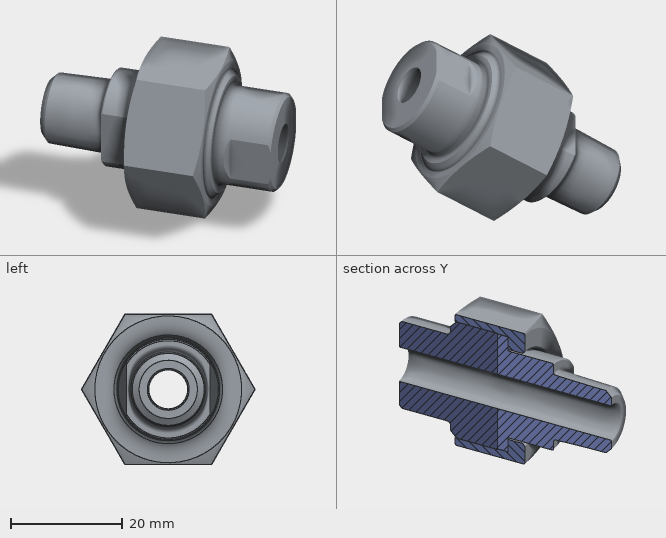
import cadquery as cq
import math

total_length = 44.0
bore_radius = 7.0 / 2
body_radius = 18.0 / 2

tip_chamfer = 1.25
taper_start_radius = 6.45
taper_end_radius = 6.75
taper_end = 11.6
root_fillet = 0.4
shoulder_start = taper_end + root_fillet
shoulder_chamfer = 0.25
tail_flat_offset = 7.5
tail_flat_end = 18.1
tail_flat_slope = math.tan(math.radians(15))
bore_chamfer = 0.25
collar_fillet = 0.25

nut_start = 17.95
nut_length = 14.5
nut_end = nut_start + nut_length
nut_across_flats = 27.0
nut_corner_radius = nut_across_flats / math.sqrt(3)
nut_face_radius = 13.2
nut_chamfer_length = 0.85
nut_hole_radius = 18.5 / 2
nut_hole_chamfer = 0.55
lip_length = 3.5
lip_end = nut_start + lip_length
thread_radius = 23.85 / 2

collar_length = 2.2
socket_start = lip_end + collar_length
flange_end = 33.45
flange_chamfer = 1.25
neck_start = 34.2
neck_fillet = 0.9
socket_chamfer = 0.55
socket_flat_offset = 8.0
socket_flat_start = 36.45
socket_flat_slope = 1.0


def revolve_profile(profile):
    """Turn a closed profile, drawn as (X, radius), around the X axis."""
    return profile.close().revolve(360, (0, 0, 0), (1, 0, 0))


def flat_cutters(start, end, offset, start_slope=0, end_slope=0):
    """Two mirrored cutters for flats at Y = +/-offset; a slope is the X run per unit depth at that end."""
    depth = body_radius
    cutter = (
        cq.Workplane("XY")
        .moveTo(start, offset)
        .lineTo(end, offset)
        .lineTo(end + end_slope * depth, offset + depth)
        .lineTo(start - start_slope * depth, offset + depth)
        .close()
        .extrude(body_radius, both=True)
    )
    return cutter.union(cutter.mirror("XZ"))


def make_tail():
    arc_middle = root_fillet * math.sqrt(0.5)
    collar_middle = collar_fillet * math.sqrt(0.5)
    profile = (
        cq.Workplane("XY")
        .moveTo(0, bore_radius + bore_chamfer)
        .lineTo(0, taper_start_radius - tip_chamfer)
        .lineTo(tip_chamfer, taper_start_radius)
        .lineTo(taper_end, taper_end_radius)
        .threePointArc(
            (taper_end + arc_middle, taper_end_radius + root_fillet - arc_middle),
            (shoulder_start, taper_end_radius + root_fillet),
        )
        .lineTo(shoulder_start, body_radius - shoulder_chamfer)
        .lineTo(shoulder_start + shoulder_chamfer, body_radius)
        .lineTo(lip_end - collar_fillet, body_radius)
        .threePointArc(
            (lip_end - collar_fillet + collar_middle, body_radius + collar_fillet - collar_middle),
            (lip_end, body_radius + collar_fillet),
        )
        .lineTo(lip_end, thread_radius)
        .lineTo(socket_start, thread_radius)
        .lineTo(socket_start, bore_radius)
        .lineTo(bore_chamfer, bore_radius)
    )
    flats = flat_cutters(shoulder_start, tail_flat_end, tail_flat_offset, end_slope=tail_flat_slope)
    return revolve_profile(profile).cut(flats)


def make_nut():
    hexagon = (
        cq.Workplane("YZ", origin=(nut_start, 0, 0))
        .polygon(6, 2 * nut_corner_radius)
        .extrude(nut_length)
    )
    envelope = revolve_profile(
        cq.Workplane("XY")
        .moveTo(nut_start, 0)
        .lineTo(nut_start, nut_face_radius)
        .lineTo(nut_start + nut_chamfer_length, nut_corner_radius)
        .lineTo(nut_end - nut_chamfer_length, nut_corner_radius)
        .lineTo(nut_end, nut_face_radius)
        .lineTo(nut_end, 0)
    )
    cavity = revolve_profile(
        cq.Workplane("XY")
        .moveTo(nut_start, 0)
        .lineTo(nut_start, nut_hole_radius + nut_hole_chamfer)
        .lineTo(nut_start + nut_hole_chamfer, nut_hole_radius)
        .lineTo(lip_end, nut_hole_radius)
        .lineTo(lip_end, thread_radius)
        .lineTo(nut_end, thread_radius)
        .lineTo(nut_end, 0)
    )
    return hexagon.intersect(envelope).cut(cavity)


def make_socket():
    neck_angle = math.asin((neck_start - flange_end) / neck_fillet)

    def neck_point(angle):
        return (
            neck_start - neck_fillet * math.sin(angle),
            body_radius + neck_fillet * (1 - math.cos(angle)),
        )

    profile = (
        cq.Workplane("XY")
        .moveTo(socket_start, bore_radius)
        .lineTo(socket_start, thread_radius)
        .lineTo(flange_end - flange_chamfer, thread_radius)
        .lineTo(flange_end, thread_radius - flange_chamfer)
        .lineTo(*neck_point(neck_angle))
        .threePointArc(neck_point(neck_angle / 2), neck_point(0))
        .lineTo(total_length - socket_chamfer, body_radius)
        .lineTo(total_length, body_radius - socket_chamfer)
        .lineTo(total_length, bore_radius)
    )
    flats = flat_cutters(socket_flat_start, total_length, socket_flat_offset, start_slope=socket_flat_slope)
    return revolve_profile(profile).cut(flats)


tail = make_tail()
nut = make_nut()
socket = make_socket()

result = cq.Compound.makeCompound([tail.val(), nut.val(), socket.val()])